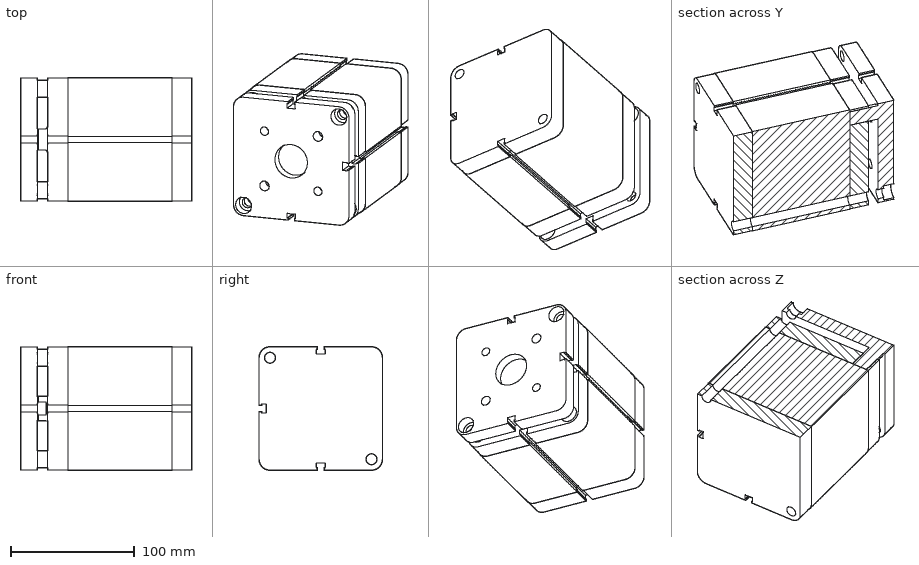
import cadquery as cq


total_length = 138.5
plate_thickness = 13.7
plate_gap = 8.2
cap_length = 16.3
front_cap_start = plate_thickness + plate_gap
barrel_start = front_cap_start + cap_length
rear_cap_start = total_length - cap_length
barrel_length = rear_cap_start - barrel_start

barrel_width = 100.0
cap_width = 99.5
corner_offset = 41.0

slot_angles = (0, 90, 180)
slot_floor = 44.2
slot_width = 6.9
cap_neck_width = 5.7
barrel_neck_width = 4.8
cap_lip_base = 47.9
barrel_lip_base = 47.5

guide_diameter = 14.0
screw_hole_diameter = 8.6
counterbore_diameter = 13.6
counterbore_depth = 8.7

recess_diameter = 28.0
recess_depth = 8.7
hole_pitch = 46.0
threaded_hole_diameter = 6.9
dowel_hole_diameter = 8.0

rod_diameter = 20.2
rod_chamfer = 0.7
rod_across_flats = 17.0
flat_length = 6.8
flat_runout = 1.0

rod_length = barrel_start - plate_thickness


def rising_diagonal(offset):
    """(Y, Z) centres in the (+Y, +Z) and (-Y, -Z) corners."""
    return [(offset, offset), (-offset, -offset)]


def falling_diagonal(offset):
    """(Y, Z) centres in the (-Y, +Z) and (+Y, -Z) corners."""
    return [(-offset, offset), (offset, -offset)]


guide_centres = rising_diagonal(corner_offset)
screw_centres = falling_diagonal(corner_offset)
threaded_hole_centres = rising_diagonal(hole_pitch / 2)
dowel_hole_centres = falling_diagonal(hole_pitch / 2)


def section_plane(x):
    """Workplane across the axis, with local X along +Y and local Y along +Z."""
    return cq.Workplane("YZ", origin=(x, 0, 0))


def cylinders(x, length, diameter, centres):
    """Round bars along +X, used as rods and as hole cutters."""
    return section_plane(x).pushPoints(centres).circle(diameter / 2).extrude(length)


def t_slot(x, length, neck_width, lip_base):
    """Cutter for a T-slot open to the +Z side."""
    half_neck = neck_width / 2
    half_slot = slot_width / 2
    slot_top = barrel_width / 2 + 1.4
    outline = [
        (-half_slot, slot_floor),
        (half_slot, slot_floor),
        (half_slot, lip_base),
        (half_neck, lip_base),
        (half_neck, slot_top),
        (-half_neck, slot_top),
        (-half_neck, lip_base),
        (-half_slot, lip_base),
    ]
    return section_plane(x).polyline(outline).close().extrude(length)


def slotted_block(x, length, width, neck_width, lip_base):
    """Rounded square block with T-slots on three sides and the two screw holes."""
    corner_radius = width / 2 - corner_offset
    block = section_plane(x).rect(width, width).extrude(length).edges("|X").fillet(corner_radius)
    slot = t_slot(x, length, neck_width, lip_base)
    for angle in slot_angles:
        block = block.cut(slot.rotate((0, 0, 0), (1, 0, 0), angle))
    return block.cut(cylinders(x, length, screw_hole_diameter, screw_centres))


def cap_block(x, length):
    return slotted_block(x, length, cap_width, cap_neck_width, cap_lip_base)


def make_guided_plate():
    """Front plate with its attachment holes and the two guide rods it carries."""
    plate = cap_block(0, plate_thickness)
    plate = plate.cut(cylinders(0, counterbore_depth, counterbore_diameter, screw_centres))
    plate = plate.cut(cylinders(0, recess_depth, recess_diameter, [(0, 0)]))
    plate = plate.cut(cylinders(0, plate_thickness, threaded_hole_diameter, threaded_hole_centres))
    plate = plate.cut(cylinders(0, plate_thickness, dowel_hole_diameter, dowel_hole_centres))
    return plate.union(cylinders(plate_thickness, rod_length, guide_diameter, guide_centres))


def make_front_cap():
    """Cap through which the piston rod and the guide rods slide."""
    cap = cap_block(front_cap_start, cap_length)
    cap = cap.cut(cylinders(front_cap_start, cap_length, rod_diameter, [(0, 0)]))
    return cap.cut(cylinders(front_cap_start, cap_length, guide_diameter, guide_centres))


def make_barrel():
    return slotted_block(barrel_start, barrel_length, barrel_width, barrel_neck_width, barrel_lip_base)


def make_rear_cap():
    return cap_block(rear_cap_start, cap_length)


def make_piston_rod():
    """Rod with a chamfered end against the plate and two wrench flats facing +Y and -Y."""
    rod = cylinders(plate_thickness, rod_length, rod_diameter, [(0, 0)]).faces("<X").chamfer(rod_chamfer)
    radius = rod_diameter / 2
    half_flats = rod_across_flats / 2
    flat_end = plate_thickness + flat_length
    flat_cutter = (
        cq.Workplane("XY")
        .moveTo(plate_thickness, half_flats)
        .lineTo(flat_end, half_flats)
        .lineTo(flat_end + flat_runout, radius)
        .lineTo(plate_thickness, radius)
        .close()
        .extrude(radius, both=True)
    )
    return rod.cut(flat_cutter).cut(flat_cutter.mirror("XZ"))


guided_plate = make_guided_plate()
front_cap = make_front_cap()
barrel = make_barrel()
rear_cap = make_rear_cap()
piston_rod = make_piston_rod()

result = cq.Compound.makeCompound([
    guided_plate.solids().val(),
    front_cap.solids().val(),
    barrel.solids().val(),
    rear_cap.solids().val(),
    piston_rod.solids().val(),
])